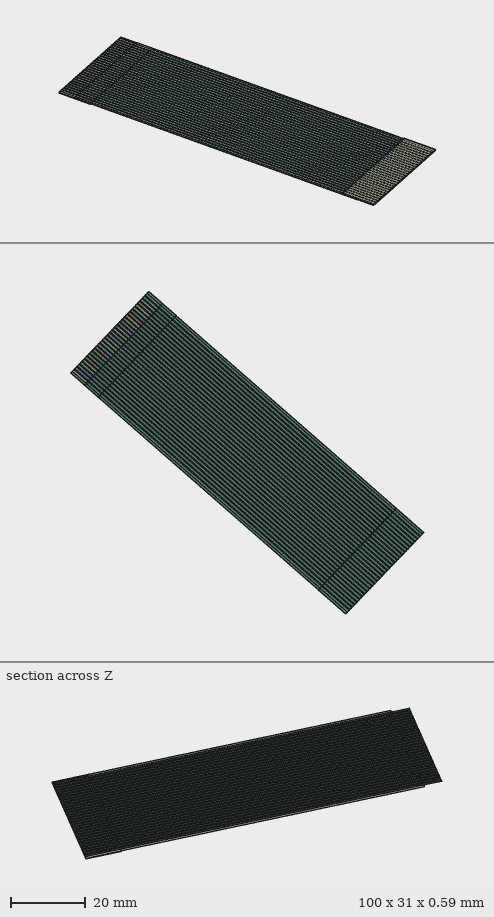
import cadquery as cq

length = 100.0
width = 31.0
total_thickness = 0.59

conductor_count = 30
conductor_pitch = 1.0
conductor_width = 0.7
conductor_thickness = 0.05

film_thickness = 0.045
stripped_length = 5.0
stiffener_length = 10.0
stiffener_thickness = (total_thickness - conductor_thickness - 2 * film_thickness) / 2

lower_film_bottom = stiffener_thickness
conductor_bottom = lower_film_bottom + film_thickness
upper_film_bottom = conductor_bottom + conductor_thickness
upper_stiffener_bottom = upper_film_bottom + film_thickness


def layer(start, end, bottom, thickness, layer_width=width, center_y=0.0):
    """Thin strip spanning start..end along the cable."""
    return (
        cq.Workplane("XY", origin=(start, center_y, bottom))
        .box(end - start, layer_width, thickness, centered=(False, True, False))
    )


def conductor(index):
    """One full-length conductor, numbered from the -Y edge."""
    center_y = (index - (conductor_count - 1) / 2) * conductor_pitch
    return layer(0, length, conductor_bottom, conductor_thickness, conductor_width, center_y)


lower_film = layer(0, length - stripped_length, lower_film_bottom, film_thickness)
upper_film = layer(stripped_length, length, upper_film_bottom, film_thickness)

lower_stiffener = layer(0, stiffener_length, 0, stiffener_thickness)
upper_stiffener = layer(
    length - stiffener_length, length, upper_stiffener_bottom, stiffener_thickness
)

cable = lower_film
for index in range(conductor_count):
    cable = cable.union(conductor(index))

result = cable.union(upper_film).union(lower_stiffener).union(upper_stiffener)